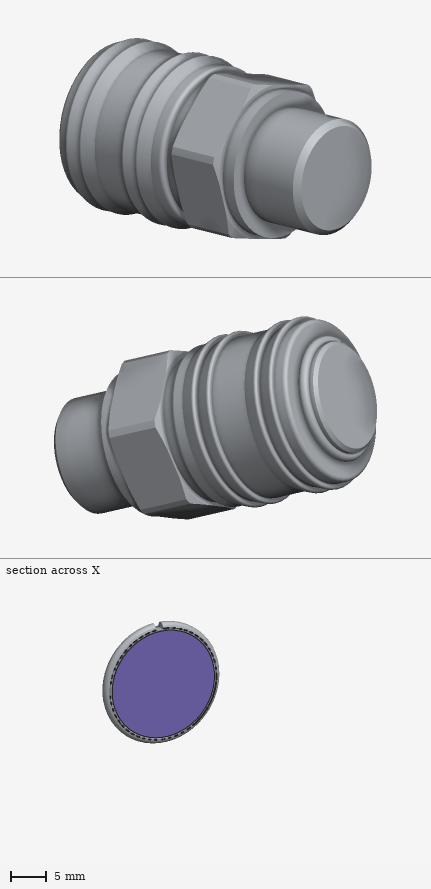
import cadquery as cq
import math

overall_length = 44.6
sleeve_start = 2.65
sleeve_length = 19.5
hex_start = 24.1
hex_length = 8.5
collar_length = 2.0
sleeve_end = sleeve_start + sleeve_length
hex_end = hex_start + hex_length
collar_end = hex_end + collar_length

nose_radius = 15.95 / 2
nose_chamfer = 0.5
barrel_radius = 21.0 / 2
spigot_radius = 16.65 / 2
spigot_chamfer = 0.85

hex_across_flats = 22.0
hex_corner_radius = 24.8 / 2
hex_end_radius = 11.25
hex_chamfer_length = 0.37
hex_turn = 17.0

ring_outer_radius = 18.0 / 2
ring_section_radius = 0.75
ring_center_radius = ring_outer_radius - ring_section_radius
ring_x = 1.85
notch_width = 1.1
notch_length = 4.0
notch_height = 20.0
notch_floor_height = 8.05

sleeve_radius = 23.3 / 2
sleeve_edge_fillet = 0.6
rib_radius = 24.8 / 2
rib_crest_radius = 0.35
rib_length = 2.42
rib_pitch = 2.54
ribs_per_pair = 2
rib_pair_offsets = (2.0, 12.5)

lip_length = 3.0
lip_radius = 16.1 / 2
bore_radius = 21.1 / 2
lip_end = sleeve_start + lip_length


def cylinder(start, end, radius):
    return cq.Workplane("YZ").workplane(offset=start).circle(radius).extrude(end - start)


def revolve_about_x(profile):
    return profile.close().revolve(360, (0, 0, 0), (1, 0, 0))


def make_hex():
    prism = (
        cq.Workplane("YZ").workplane(offset=hex_start)
        .transformed(rotate=(0, 0, hex_turn))
        .polygon(6, hex_across_flats, circumscribed=True).extrude(hex_length)
    )
    envelope = revolve_about_x(
        cq.Workplane("XY").moveTo(hex_start, 0)
        .lineTo(hex_start, hex_end_radius)
        .lineTo(hex_start + hex_chamfer_length, hex_corner_radius)
        .lineTo(hex_end - hex_chamfer_length, hex_corner_radius)
        .lineTo(hex_end, hex_end_radius)
        .lineTo(hex_end, 0)
    )
    return prism.intersect(envelope)


def make_stop_ring():
    """Torus around the X axis with a flat-bottomed notch on the -Y side of its top."""
    section = cq.Workplane("XY").center(ring_x, ring_center_radius).circle(ring_section_radius)
    ring = section.revolve(360, (0, -ring_center_radius, 0), (1, -ring_center_radius, 0))
    notch = cq.Workplane("XY").box(notch_length, notch_width, notch_height, centered=(True, False, False))
    return ring.cut(notch.translate((ring_x, -notch_width, notch_floor_height)))


def make_body():
    nose = cylinder(0, sleeve_start, nose_radius).faces("<X").chamfer(nose_chamfer)
    core = cylinder(sleeve_start, lip_end, nose_radius)
    barrel = cylinder(lip_end, collar_end, barrel_radius)
    spigot = cylinder(collar_end, overall_length, spigot_radius).faces(">X").chamfer(spigot_chamfer)
    front = nose.union(make_stop_ring()).union(core)
    return front.union(barrel).union(make_hex()).union(spigot)


def make_rib(start):
    """Grip rib: square front face, rounded crest, flank sloping back to the sleeve surface."""
    crest_x = start + rib_crest_radius
    crest_y = rib_radius - rib_crest_radius
    foot_x = start + rib_length
    run = foot_x - crest_x
    drop = crest_y - sleeve_radius
    normal = math.acos(rib_crest_radius / math.hypot(run, drop)) - math.atan2(drop, run)
    flank_top = (
        crest_x + rib_crest_radius * math.cos(normal),
        crest_y + rib_crest_radius * math.sin(normal),
    )
    return revolve_about_x(
        cq.Workplane("XY").moveTo(start, 0)
        .lineTo(start, crest_y)
        .threePointArc((crest_x, rib_radius), flank_top)
        .lineTo(foot_x, sleeve_radius)
        .lineTo(foot_x, 0)
    )


def make_sleeve():
    sleeve = cylinder(sleeve_start, sleeve_end, sleeve_radius).edges().fillet(sleeve_edge_fillet)
    for pair_offset in rib_pair_offsets:
        for index in range(ribs_per_pair):
            sleeve = sleeve.union(make_rib(sleeve_start + pair_offset + index * rib_pitch))
    sleeve = sleeve.cut(cylinder(sleeve_start, lip_end, lip_radius))
    return sleeve.cut(cylinder(lip_end, sleeve_end, bore_radius))


body = make_body()
sleeve = make_sleeve()
result = cq.Compound.makeCompound([body.val(), sleeve.val()])